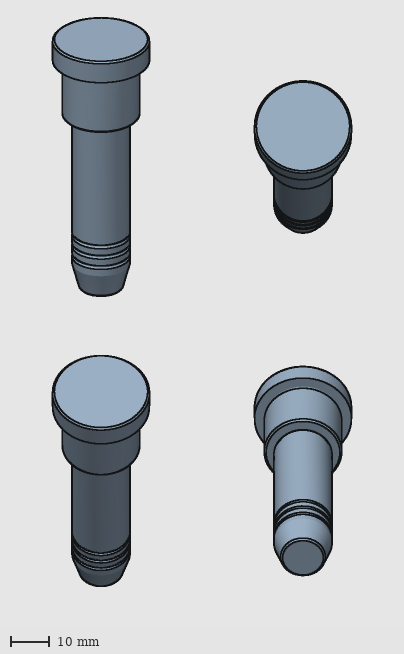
import cadquery as cq
import math

total_height = 72.0

head_diameter = 25.0
shoulder_diameter = 20.0
shank_diameter = 15.0

head_height = 6.0
shoulder_bottom_z = 50.0
tip_height = 7.0
tip_angle = 15.0
edge_chamfer = 0.5

relief_width = 1.0
relief_depth = 0.5

groove_radius = 0.5
shank_groove_count = 3
shank_groove_pitch = 3.0
first_groove_z = 9.5

head_radius = head_diameter / 2
shoulder_radius = shoulder_diameter / 2
shank_radius = shank_diameter / 2
head_bottom_z = total_height - head_height
tip_taper = math.tan(math.radians(tip_angle))
tip_radius = shank_radius - (tip_height - edge_chamfer) * tip_taper


def cylinder(radius, bottom_z, top_z):
    """Solid cylinder on the Z axis between two heights."""
    return cq.Workplane("XY").workplane(offset=bottom_z).circle(radius).extrude(top_z - bottom_z)


def make_head():
    return cylinder(head_radius, head_bottom_z, total_height).faces(">Z").edges().chamfer(edge_chamfer)


def make_shoulder():
    body = cylinder(shoulder_radius, shoulder_bottom_z, head_bottom_z)
    return body.faces("<Z").edges().chamfer(edge_chamfer)


def make_shank():
    """Shank with a tapered lead-in tip and a chamfered end."""
    profile = (
        cq.Workplane("XZ")
        .lineTo(tip_radius - edge_chamfer, 0)
        .lineTo(tip_radius, edge_chamfer)
        .lineTo(shank_radius, tip_height)
        .lineTo(shank_radius, shoulder_bottom_z)
        .lineTo(0, shoulder_bottom_z)
        .close()
    )
    return profile.revolve(360, (0, 0, 0), (0, 1, 0))


def square_relief(radius, top_z):
    """Ring that cuts a square relief directly below a step at top_z."""
    bottom_z = top_z - relief_width
    return cylinder(radius, bottom_z, top_z).cut(cylinder(radius - relief_depth, bottom_z, top_z))


def round_groove(radius, center_z):
    """Torus that cuts a half-round groove into a cylinder."""
    section = cq.Workplane("XZ").center(radius, center_z).circle(groove_radius)
    return section.revolve(360, (-radius, 0, 0), (-radius, 1, 0))


result = make_shank().union(make_shoulder()).union(make_head())

result = result.cut(round_groove(shoulder_radius, head_bottom_z - groove_radius))
result = result.cut(square_relief(shank_radius, shoulder_bottom_z))

for index in range(shank_groove_count):
    result = result.cut(round_groove(shank_radius, first_groove_z + index * shank_groove_pitch))